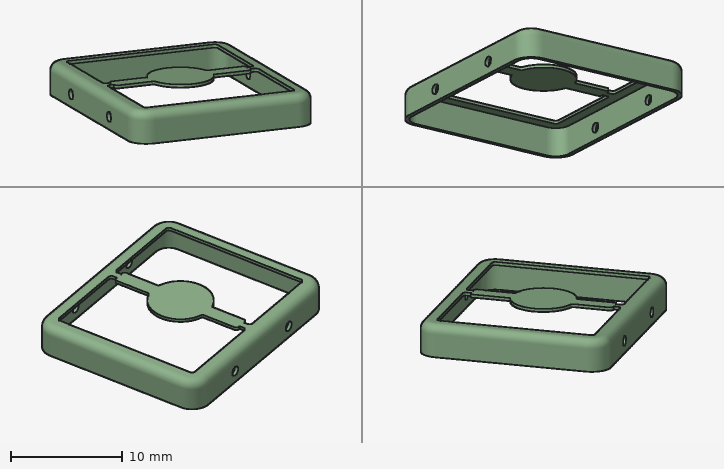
import cadquery as cq

length = 20.6
width = 17.8
height = 3.0
corner_radius = 1.8
top_fillet = 0.8
wall = 0.4

plate_thickness = 0.3
lip_border = 1.5
opening_fillet = 0.3
disc_diameter = 6.0
arm_width = 1.5
neck_width = 0.7
neck_length = 0.7
disc_fillet = 0.2

hole_diameter = 0.9
hole_spacing = 8.49
hole_height = 1.2

pick_margin = 0.02

plate_bottom = height - plate_thickness
opening_length = length - 2 * lip_border
opening_width = width - 2 * lip_border
arm_span = opening_width - 2 * neck_length


def make_frame():
    """Rounded box, hollow below the plate and open at the bottom."""
    body = cq.Workplane("XY").rect(length, width).extrude(height)
    body = body.edges("|Z").fillet(corner_radius)
    body = body.faces(">Z").edges().fillet(top_fillet)
    cavity = cq.Workplane("XY").rect(length - 2 * wall, width - 2 * wall).extrude(plate_bottom)
    return body.cut(cavity.edges("|Z").fillet(corner_radius - wall))


def plate_bar(size_x, size_y):
    """Centred rectangular block as thick as the top plate."""
    return cq.Workplane("XY").workplane(offset=plate_bottom).rect(size_x, size_y).extrude(plate_thickness)


def pick_box(half_x, low_y, high_y):
    """Selector for edges within a full-height box centred on X."""
    return cq.selectors.BoxSelector((-half_x, low_y, 0), (half_x, high_y, height))


def make_windows():
    """The two openings left on either side of the arms and disc."""
    disc_radius = disc_diameter / 2
    disc = cq.Workplane("XY").workplane(offset=plate_bottom)
    disc = disc.circle(disc_radius).extrude(plate_thickness)
    windows = plate_bar(opening_length, opening_width)
    windows = windows.cut(plate_bar(neck_width, opening_width))
    windows = windows.cut(plate_bar(arm_width, arm_span)).cut(disc)

    disc_joints = pick_box(arm_width, -disc_radius, disc_radius)
    windows = windows.edges("|Z").edges(disc_joints).fillet(disc_fillet)

    neck_half = neck_width / 2 + pick_margin
    for side in (-1, 1):
        rim_y = side * opening_width / 2
        rim_corners = pick_box(length, rim_y - pick_margin, rim_y + pick_margin)
        windows = windows.edges("|Z").edges(rim_corners).fillet(opening_fillet)

        shoulder_y = side * arm_span / 2
        shoulder_row = (shoulder_y - pick_margin, shoulder_y + pick_margin)
        shoulders = pick_box(arm_width, *shoulder_row) - pick_box(neck_half, *shoulder_row)
        windows = windows.edges("|Z").edges(shoulders).fillet(opening_fillet)
    return windows


def make_holes():
    """Pin holes running through both long walls."""
    return (
        cq.Workplane("XZ", origin=(0, 0, hole_height))
        .rarray(hole_spacing, 0.2, 2, 1)
        .circle(hole_diameter / 2)
        .extrude(width, both=True)
    )


result = make_frame().cut(make_windows()).cut(make_holes())